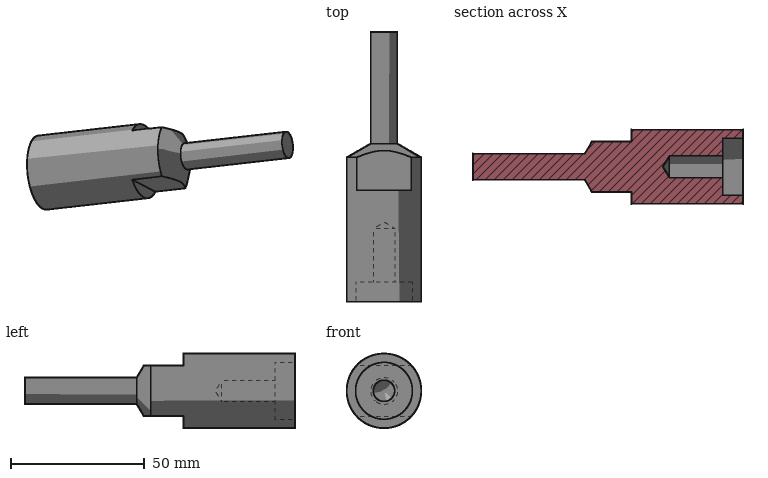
import cadquery as cq
import math

total_length = 101.0
body_radius = 14.0
stem_radius = 5.0
body_length = 54.0
shoulder_angle = 30.0

flat_spacing = 19.0
flat_start = 41.75

socket_radius = 10.65
socket_depth = 7.5
hole_radius = 4.0
hole_depth = 20.0
drill_point_angle = 118.0

shoulder_length = (body_radius - stem_radius) * math.tan(math.radians(shoulder_angle))
stem_start = body_length + shoulder_length


def revolve_about_y(outline):
    """Turn a closed (radius, y) outline into a solid of revolution about Y."""
    return cq.Workplane("XY").polyline(outline).close().revolve(360, (0, 0, 0), (0, 1, 0))


def turned_body():
    """Cylinder, conical shoulder and stem."""
    return revolve_about_y([
        (0, 0),
        (body_radius, 0),
        (body_radius, body_length),
        (stem_radius, stem_start),
        (stem_radius, total_length),
        (0, total_length),
    ])


def stepped_bore():
    """Wide socket followed by a narrower drilled hole with a conical end."""
    hole_end = socket_depth + hole_depth
    drill_point_length = hole_radius / math.tan(math.radians(drill_point_angle / 2))
    return revolve_about_y([
        (0, 0),
        (socket_radius, 0),
        (socket_radius, socket_depth),
        (hole_radius, socket_depth),
        (hole_radius, hole_end),
        (0, hole_end + drill_point_length),
    ])


def flat_cutter(side):
    """Block removed beyond one wrench flat; side is +1 above, -1 below."""
    cut_height = body_radius
    cut_length = stem_start - flat_start
    centre_y = flat_start + cut_length / 2
    centre_z = side * (flat_spacing + cut_height) / 2
    block = cq.Workplane("XY").box(2 * body_radius, cut_length, cut_height)
    return block.translate((0, centre_y, centre_z))


result = turned_body().cut(stepped_bore())
for side in (1, -1):
    result = result.cut(flat_cutter(side))